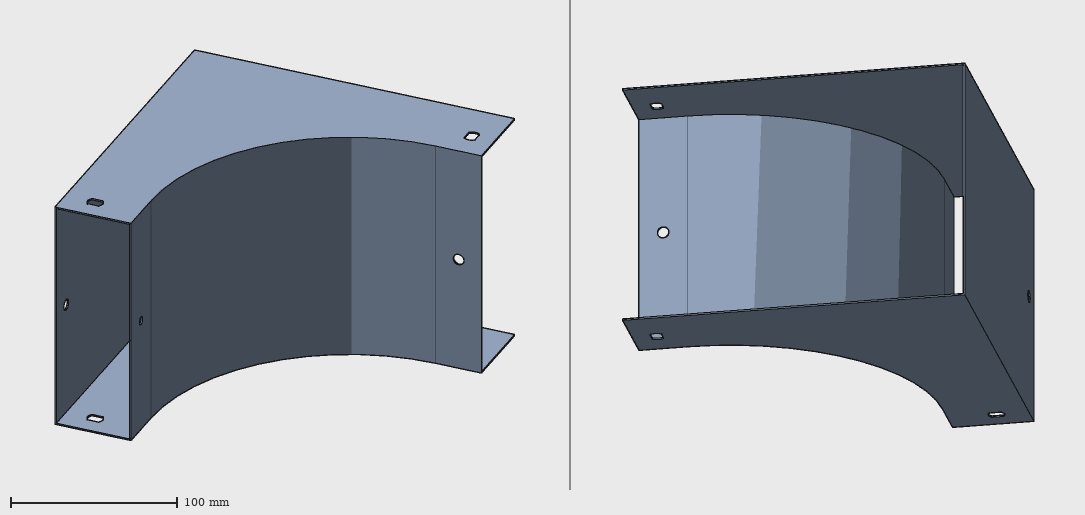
import cadquery as cq
import math

SIDE = 210.0
HEIGHT = 150.0
DUCT_WIDTH = 50.0
STRAIGHT = 30.0
SHEET = 1.0

HOLE_INSET = 15.0
SLOT_LENGTH = 10.0
SLOT_WIDTH = 7.0
SLOT_INSET = 20.0
SCREW_HOLE = 7.0
NARROW_HOLE = 5.0

BEND_RADIUS = SIDE - DUCT_WIDTH - STRAIGHT


def elbow(offset, overrun):
    """Elbow prism set in by offset from the walled faces, overrunning the open ones."""
    near = offset
    far = SIDE + overrun
    inner_x = DUCT_WIDTH - offset
    inner_y = SIDE - DUCT_WIDTH + offset
    centre_x = SIDE - STRAIGHT
    centre_y = STRAIGHT
    diagonal = (BEND_RADIUS + offset) * math.sqrt(0.5)
    return (
        cq.Workplane("XY", origin=(0, 0, offset))
        .moveTo(near, -overrun)
        .lineTo(inner_x, -overrun)
        .lineTo(inner_x, centre_y)
        .threePointArc((centre_x - diagonal, centre_y + diagonal), (centre_x, inner_y))
        .lineTo(far, inner_y)
        .lineTo(far, far)
        .lineTo(near, far)
        .close()
        .extrude(HEIGHT - 2 * offset)
    )


def slot_cutter(x, y, angle):
    """Vertical double-D slot: a round hole narrowed by two flats along the given angle."""
    round_part = cq.Workplane("XY").circle(SLOT_LENGTH / 2).extrude(HEIGHT)
    flats = cq.Workplane("XY").rect(SLOT_LENGTH, SLOT_WIDTH).extrude(HEIGHT)
    slot = round_part.intersect(flats)
    return slot.rotate((0, 0, 0), (0, 0, 1), angle).translate((x, y, 0))


def hole_cutter(start, direction, diameter, depth):
    """Round hole running from start along direction."""
    return cq.Workplane(
        cq.Solid.makeCylinder(diameter / 2, depth, cq.Vector(*start), cq.Vector(*direction))
    )


duct = elbow(0, 0).cut(elbow(SHEET, SHEET))

y_leg_slot = slot_cutter(SLOT_INSET, HOLE_INSET, 0)
x_leg_slot = slot_cutter(SIDE - HOLE_INSET, SIDE - DUCT_WIDTH + SLOT_INSET, 90)
duct = duct.cut(y_leg_slot).cut(x_leg_slot)

mid_height = HEIGHT / 2
outer_wall_point = (0, HOLE_INSET, mid_height)
duct = duct.cut(hole_cutter(outer_wall_point, (1, 0, 0), SCREW_HOLE, SHEET))
duct = duct.cut(hole_cutter(outer_wall_point, (1, 0, 0), NARROW_HOLE, DUCT_WIDTH))

inner_wall_point = (SIDE - HOLE_INSET, SIDE - DUCT_WIDTH, mid_height)
duct = duct.cut(hole_cutter(inner_wall_point, (0, 1, 0), SCREW_HOLE, SHEET))

result = duct